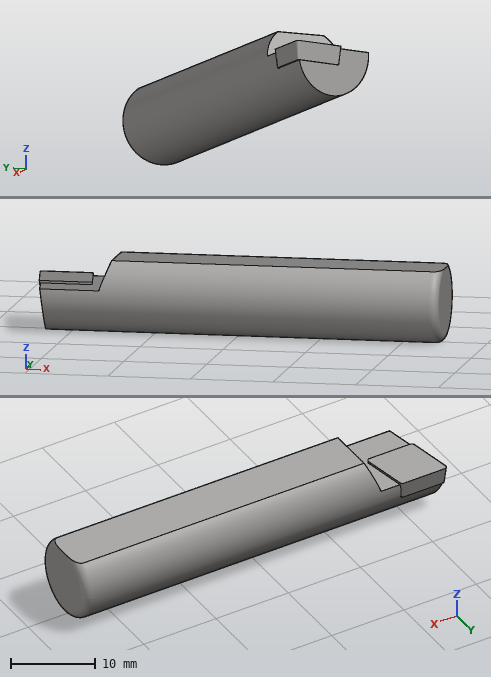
import cadquery as cq
import math

length = 50.0
shank_radius = 5.0
flat_height = 4.0
end_fillet = 1.0

ledge_height = 0.65
step_foot_x = 9.0
step_top_x = 10.2

insert_top = 0.95
insert_thickness = 2.25
insert_width = 6.35
insert_side_y = 5.3
lead_angle = 10.0
relief_angle = 7.0
corner_radius = 0.4

nose_setback = 0.1

margin = 5.0

lead = math.radians(lead_angle)
relief = math.radians(relief_angle)

tip_x = -corner_radius * (math.tan(lead) + 1 / math.cos(lead) - 1)
rhombus_side = insert_width / math.cos(lead)
rhombus_shift = insert_width * math.tan(lead)


def make_insert():
    outline = (
        cq.Sketch()
        .polygon([
            (0, 0),
            (rhombus_shift, -insert_width),
            (rhombus_shift + rhombus_side, -insert_width),
            (rhombus_side, 0),
            (0, 0),
        ])
        .vertices()
        .fillet(corner_radius)
    )
    return (
        cq.Workplane("XY", origin=(tip_x, insert_side_y, insert_top))
        .placeSketch(outline)
        .extrude(-insert_thickness, taper=relief_angle)
    )


def make_bar():
    bar = cq.Workplane("YZ").circle(shank_radius).extrude(length)
    bar = bar.faces(">X").edges().fillet(end_fillet)
    above_flat = cq.Workplane("XY", origin=(length / 2, 0, flat_height)).rect(
        length + 2 * margin, 2 * (shank_radius + margin)
    ).extrude(margin)
    return bar.cut(above_flat)


def make_step_cutter():
    slope = (step_top_x - step_foot_x) / (flat_height - ledge_height)
    cutter_top = flat_height + margin
    return (
        cq.Workplane("XZ")
        .polyline([
            (-margin, ledge_height),
            (step_foot_x, ledge_height),
            (step_foot_x + slope * (cutter_top - ledge_height), cutter_top),
            (-margin, cutter_top),
        ])
        .close()
        .extrude(shank_radius + margin, both=True)
    )


def make_nose_cutter():
    outward = cq.Vector(
        -math.cos(relief) * math.cos(lead),
        -math.cos(relief) * math.sin(lead),
        -math.sin(relief),
    )
    along_edge = cq.Vector(math.sin(lead), -math.cos(lead), 0)
    face_plane = cq.Plane(
        origin=(tip_x + nose_setback, insert_side_y, insert_top), xDir=along_edge, normal=outward
    )
    cutter_width = 4 * (shank_radius + margin)
    return cq.Workplane(face_plane).rect(cutter_width, cutter_width).extrude(margin)


def make_shank(insert):
    return make_bar().cut(make_step_cutter()).cut(make_nose_cutter()).cut(insert)


insert = make_insert()
shank = make_shank(insert)
result = cq.Compound.makeCompound([*shank.solids().vals(), *insert.solids().vals()])